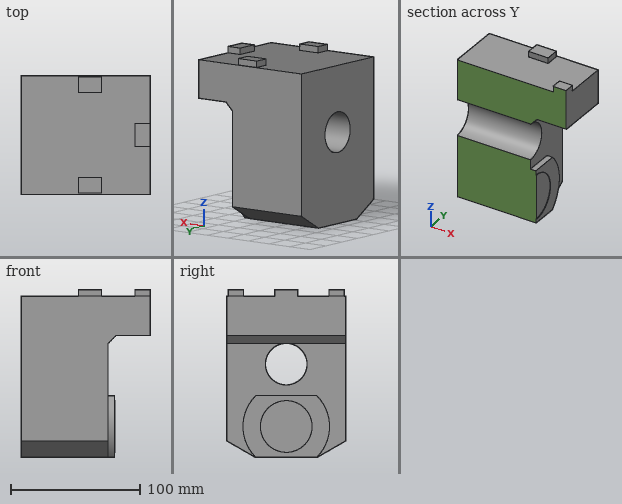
import cadquery as cq
import math

overall_length = 100.0
width = 92.0
body_height = 124.5
column_length = 67.3
shelf_thickness = 30.4
inside_corner_bevel = 6.2

bottom_flat_width = 48.4
bottom_slope_angle = 30.0

bore_diameter = 32.0
bore_height = 72.0

boss_radius = 33.5
boss_height = 47.6
boss_thickness = 5.0
rim_diameter = 40.01
rim_thickness = 0.5

pad_length = 18.0
pad_depth = 12.0
pad_height = 5.0
side_pad_center_x = 53.25
side_pad_margin = 1.0

overlap = 1.0


def make_body():
    shelf_underside = body_height - shelf_thickness
    profile = [
        (0, 0),
        (column_length, 0),
        (column_length, shelf_underside - inside_corner_bevel),
        (column_length + inside_corner_bevel, shelf_underside),
        (overall_length, shelf_underside),
        (overall_length, body_height),
        (0, body_height),
    ]
    return cq.Workplane("XZ").polyline(profile).close().extrude(width / 2, both=True)


def make_corner_cut(side):
    """Wedge below the sloped lower corner; side is +1 for +Y and -1 for -Y."""
    slope_run = (width - bottom_flat_width) / 2
    slope_rise = slope_run * math.tan(math.radians(bottom_slope_angle))
    triangle = [
        (side * bottom_flat_width / 2, 0),
        (side * width / 2, 0),
        (side * width / 2, slope_rise),
    ]
    return cq.Workplane("YZ").polyline(triangle).close().extrude(column_length)


def make_bore():
    return cq.Workplane("YZ").center(0, bore_height).circle(bore_diameter / 2).extrude(column_length)


def make_boss():
    boss_reach = overlap + boss_thickness
    face = cq.Workplane("YZ", origin=(column_length - overlap, 0, boss_height / 2))
    disc = face.circle(boss_radius).extrude(boss_reach)
    flats = face.rect(2 * boss_radius, boss_height).extrude(boss_reach)
    rim = face.circle(rim_diameter / 2).extrude(boss_reach + rim_thickness)
    return disc.intersect(flats).union(rim)


def make_pad(center_x, center_y, size_x, size_y):
    return (
        cq.Workplane("XY", origin=(center_x, center_y, body_height - overlap))
        .rect(size_x, size_y)
        .extrude(overlap + pad_height)
    )


result = make_body().cut(make_bore()).union(make_boss())

for side in (-1, 1):
    side_pad_center_y = side * (width / 2 - side_pad_margin - pad_depth / 2)
    result = result.cut(make_corner_cut(side))
    result = result.union(make_pad(side_pad_center_x, side_pad_center_y, pad_length, pad_depth))

result = result.union(make_pad(overall_length - pad_depth / 2, 0, pad_depth, pad_length))